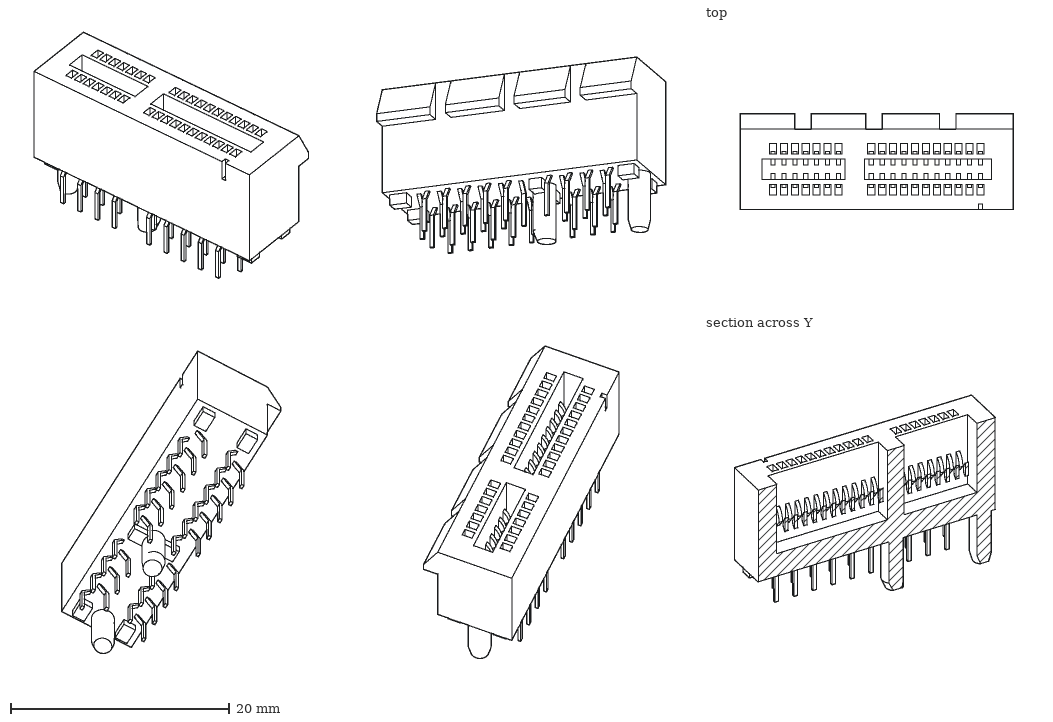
import cadquery as cq
import math


LENGTH = 25.0
BODY_DEPTH = 7.38
BODY_HEIGHT = 10.0
CENTRE_Y = 3.7

LEDGE_SPANS = [(0.0, 5.0), (6.5, 11.5), (13.0, 18.25), (19.75, LENGTH)]
LEDGE_REACH = 1.42
LEDGE_BOTTOM = BODY_HEIGHT - 3.55
LEDGE_LIP_TOP = BODY_HEIGHT - 2.8

PITCH = 1.0
FIRST_CONTACT_X = 3.0
FIRST_GROUP = range(0, 7)
SECOND_GROUP = range(9, 20)
CONTACT_WIDTH = 0.38

SLOT_WIDTH = 1.9
SLOT_OUTER_MARGIN = 1.02
SLOT_KEY_MARGIN = 0.6
POCKET_DEPTH = 7.5
WINDOW_WIDTH = 0.65
WINDOW_INNER = 1.4
WINDOW_OUTER = 2.38

SPRING_TIP = 1.65
SPRING_APEX = 0.38
SPRING_TOP = 6.5
SPRING_APEX_LEVEL = 5.0
SPRING_SHOULDER = 1.15
SPRING_ARC_MIDDLE = (0.6, 5.9)
SPRING_BOTTOM = 4.0

TAIL_THICKNESS = 0.28
TAIL_ROOT = 2.25
TAIL_NEAR_ROW = 1.25
TAIL_FAR_ROW = 3.25
TAIL_BEND_LEVEL = -1.0
TAIL_ROOT_LEVEL = 0.3
TAIL_END_LEVEL = -4.08

NOTCH_WIDTH = 0.4
NOTCH_DEPTH = 0.52
NOTCH_HEIGHT = 2.0

STANDOFF_HEIGHT = 1.0
CORNER_PAD_SPANS = [(0.58, 2.15), (22.92, 24.58)]
CORNER_PAD_DEPTH = 1.22
CORNER_PAD_OUTER = 2.88
MIDDLE_BAR_SPAN = (9.88, 11.1)
MIDDLE_BAR_DEPTH = 4.7

PEG_LENGTH = 5.4
PEG_TIP_HEIGHT = 0.98
END_PEG_X = 1.15
END_PEG_OUTLINE = (1.0, 1.05, 2.18)
END_PEG_TIP_OUTLINE = (0.78, 0.78, 1.72)
MIDDLE_PEG_X = 10.48
MIDDLE_PEG_RADIUS = 1.05
MIDDLE_PEG_CREASE_OFFSET = 0.12
MIDDLE_PEG_TIP_OUTLINE = (0.92, 0.78, 1.72)


def contact_x(index):
    return FIRST_CONTACT_X + index * PITCH


def box(x_span, y_span, z_span):
    """Axis-aligned box from its (low, high) limits."""
    size = [high - low for low, high in (x_span, y_span, z_span)]
    corner = (x_span[0], y_span[0], z_span[0])
    return cq.Workplane("XY").box(*size, centered=False).translate(corner)


def centred_span(centre, width):
    return (centre - width / 2, centre + width / 2)


def side_span(side, near, far):
    """Y limits between two distances from the slot centre; side is -1 (front) or 1 (back)."""
    return tuple(sorted((CENTRE_Y + side * near, CENTRE_Y + side * far)))


def yz_plane(x):
    """Plane across the connector: local x is the distance behind the slot centre."""
    return cq.Workplane("YZ", origin=(x, CENTRE_Y, 0))


def housing():
    body = box((0, LENGTH), (0, BODY_DEPTH), (0, BODY_HEIGHT))
    back = BODY_DEPTH - CENTRE_Y
    for start, end in LEDGE_SPANS:
        ledge = (
            yz_plane(start)
            .moveTo(back, LEDGE_BOTTOM)
            .lineTo(back + LEDGE_REACH, LEDGE_BOTTOM)
            .lineTo(back + LEDGE_REACH, LEDGE_LIP_TOP)
            .lineTo(back, BODY_HEIGHT)
            .close()
            .extrude(end - start)
        )
        body = body.union(ledge)
    return body


def pocket(x_span, y_span):
    return box(x_span, y_span, (BODY_HEIGHT - POCKET_DEPTH, BODY_HEIGHT))


def card_slot(group, left_margin, right_margin):
    x_span = (contact_x(group[0]) - left_margin, contact_x(group[-1]) + right_margin)
    return pocket(x_span, centred_span(CENTRE_Y, SLOT_WIDTH))


def window(index, side):
    x_span = centred_span(contact_x(index), WINDOW_WIDTH)
    return pocket(x_span, side_span(side, WINDOW_INNER, WINDOW_OUTER))


def polarity_notch():
    x_span = centred_span(contact_x(SECOND_GROUP[-1]), NOTCH_WIDTH)
    return box(x_span, (0, NOTCH_DEPTH), (BODY_HEIGHT - NOTCH_HEIGHT, BODY_HEIGHT))


def contact_spring(index, side):
    """Contact held in the wall, bulging into the slot and ending in a tip inside the window."""
    middle, middle_level = SPRING_ARC_MIDDLE
    return (
        yz_plane(contact_x(index) - CONTACT_WIDTH / 2)
        .moveTo(side * SPRING_TIP, SPRING_TOP)
        .lineTo(side * SPRING_SHOULDER, SPRING_TOP)
        .threePointArc((side * middle, middle_level), (side * SPRING_APEX, SPRING_APEX_LEVEL))
        .lineTo(side * SPRING_SHOULDER, SPRING_BOTTOM)
        .lineTo(side * SPRING_TIP, SPRING_BOTTOM)
        .close()
        .extrude(CONTACT_WIDTH)
    )


def solder_tail(index, side, row):
    """Tail leaving the base at a slant and bending down into its row."""
    half = TAIL_THICKNESS / 2
    return (
        yz_plane(contact_x(index) - CONTACT_WIDTH / 2)
        .moveTo(side * (TAIL_ROOT - half), TAIL_ROOT_LEVEL)
        .lineTo(side * (row - half), TAIL_BEND_LEVEL)
        .lineTo(side * (row - half), TAIL_END_LEVEL)
        .lineTo(side * (row + half), TAIL_END_LEVEL)
        .lineTo(side * (row + half), TAIL_BEND_LEVEL)
        .lineTo(side * (TAIL_ROOT + half), TAIL_ROOT_LEVEL)
        .close()
        .extrude(CONTACT_WIDTH)
    )


def standoffs():
    z_span = (-STANDOFF_HEIGHT, 0)
    bars = box(MIDDLE_BAR_SPAN, centred_span(CENTRE_Y, MIDDLE_BAR_DEPTH), z_span)
    for x_span in CORNER_PAD_SPANS:
        for side in (-1, 1):
            y_span = side_span(side, CORNER_PAD_OUTER - CORNER_PAD_DEPTH, CORNER_PAD_OUTER)
            bars = bars.union(box(x_span, y_span, z_span))
    return bars


def two_arc_outline(x, level, outline):
    """Closed outline of a left and a right arc that meet at x, at the front and the back."""
    left_width, right_width, depth = outline
    return (
        cq.Workplane("XY", origin=(x, CENTRE_Y, level))
        .moveTo(0, -depth / 2)
        .threePointArc((right_width, 0), (0, depth / 2))
        .threePointArc((-left_width, 0), (0, -depth / 2))
        .close()
    )


def peg(x, outline, tip_outline):
    """Straight shank followed by a tapered tip."""
    shank_end = PEG_TIP_HEIGHT - PEG_LENGTH
    shank = two_arc_outline(x, 0, outline).extrude(shank_end)
    tip_wires = [
        two_arc_outline(x, shank_end, outline).val(),
        two_arc_outline(x, -PEG_LENGTH, tip_outline).val(),
    ]
    return shank.union(cq.Workplane(cq.Solid.makeLoft(tip_wires, True)))


def end_peg():
    return peg(END_PEG_X, END_PEG_OUTLINE, END_PEG_TIP_OUTLINE)


def middle_peg():
    """Round peg, divided left of its axis so that its tip leans towards the end peg."""
    outline = (
        MIDDLE_PEG_RADIUS - MIDDLE_PEG_CREASE_OFFSET,
        MIDDLE_PEG_RADIUS + MIDDLE_PEG_CREASE_OFFSET,
        2 * math.sqrt(MIDDLE_PEG_RADIUS**2 - MIDDLE_PEG_CREASE_OFFSET**2),
    )
    return peg(MIDDLE_PEG_X - MIDDLE_PEG_CREASE_OFFSET, outline, MIDDLE_PEG_TIP_OUTLINE)


result = housing().cut(polarity_notch())
result = result.cut(card_slot(FIRST_GROUP, SLOT_OUTER_MARGIN, SLOT_KEY_MARGIN))
result = result.cut(card_slot(SECOND_GROUP, SLOT_KEY_MARGIN, SLOT_OUTER_MARGIN))
for group in (FIRST_GROUP, SECOND_GROUP):
    for index in group:
        row = TAIL_FAR_ROW if index % 2 == 0 else TAIL_NEAR_ROW
        for side in (-1, 1):
            result = result.cut(window(index, side))
            result = result.union(contact_spring(index, side))
            result = result.union(solder_tail(index, side, row))

result = result.union(standoffs()).union(end_peg()).union(middle_peg())